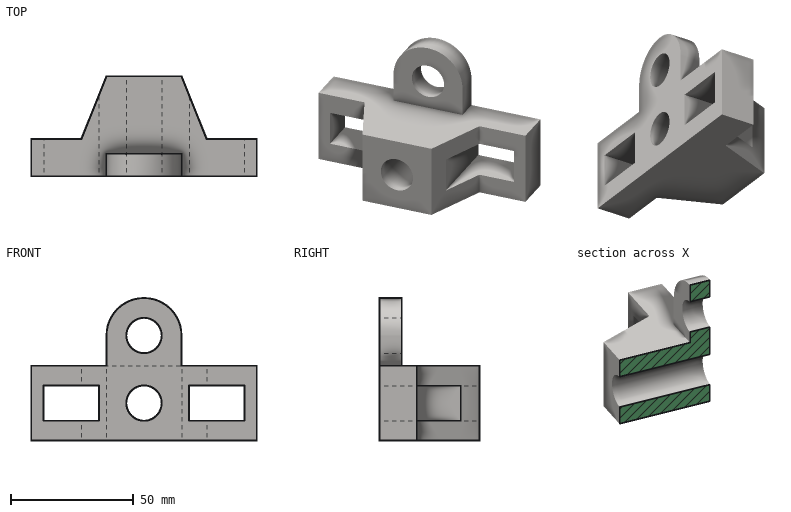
import cadquery as cq

bar_length = 92.2
bar_depth = bar_length / 6
bar_height = bar_length / 3

total_depth = 40.98
block_root_width = 51.22
block_back_width = bar_length / 3

lug_width = bar_length / 3
lug_radius = lug_width / 2
lug_thickness = 9.22
total_height = 58.37
lug_center_z = total_height - lug_radius

hole_diameter = 14.34
lower_hole_z = bar_height / 2
slot_end_wall = 5.12
slot_length = 22.54
slot_height = hole_diameter
slot_center_x = bar_length / 2 - slot_end_wall - slot_length / 2


def make_body():
    """Bar and tapered block as one extruded plan outline, front face at Y = 0."""
    return (
        cq.Workplane("XY")
        .moveTo(-bar_length / 2, 0)
        .lineTo(bar_length / 2, 0)
        .lineTo(bar_length / 2, bar_depth)
        .lineTo(block_root_width / 2, bar_depth)
        .lineTo(block_back_width / 2, total_depth)
        .lineTo(-block_back_width / 2, total_depth)
        .lineTo(-block_root_width / 2, bar_depth)
        .lineTo(-bar_length / 2, bar_depth)
        .close()
        .extrude(bar_height)
    )


def make_lug():
    """Plate flush with the front face, ending in a half-round top."""
    return (
        cq.Workplane("XZ")
        .moveTo(-lug_radius, 0)
        .lineTo(lug_radius, 0)
        .lineTo(lug_radius, lug_center_z)
        .threePointArc((0, total_height), (-lug_radius, lug_center_z))
        .close()
        .extrude(-lug_thickness)
    )


def make_holes():
    """Cutters for the lug hole and the hole through bar and block."""
    return (
        cq.Workplane("XZ")
        .pushPoints([(0, lower_hole_z), (0, lug_center_z)])
        .circle(hole_diameter / 2)
        .extrude(-total_depth)
    )


def make_slots():
    """Cutters for the rectangular slots, which also notch the block's slanted sides."""
    return (
        cq.Workplane("XZ")
        .pushPoints([(side * slot_center_x, bar_height / 2) for side in (-1, 1)])
        .rect(slot_length, slot_height)
        .extrude(-total_depth)
    )


result = make_body().union(make_lug()).cut(make_holes()).cut(make_slots())